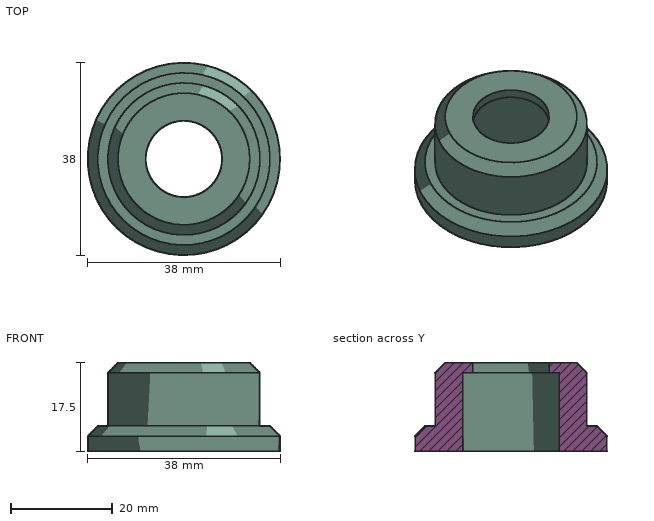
import cadquery as cq

flange_diameter = 38.0
body_diameter = 30.02
hole_diameter = 15.0
total_height = 17.5
flange_height = 5.0
chamfer_size = 2.0
lip_height = 2.0
bore_diameter = 19.0


def chamfered_disc(diameter, height):
    """Upright disc on the XY plane with its top edge chamfered."""
    disc = cq.Workplane("XY").circle(diameter / 2).extrude(height)
    return disc.faces(">Z").edges().chamfer(chamfer_size)


flange = chamfered_disc(flange_diameter, flange_height)
body = chamfered_disc(body_diameter, total_height)

hole = cq.Workplane("XY").circle(hole_diameter / 2).extrude(total_height)
bore = cq.Workplane("XY").circle(bore_diameter / 2).extrude(total_height - lip_height)

result = flange.union(body).cut(hole).cut(bore)